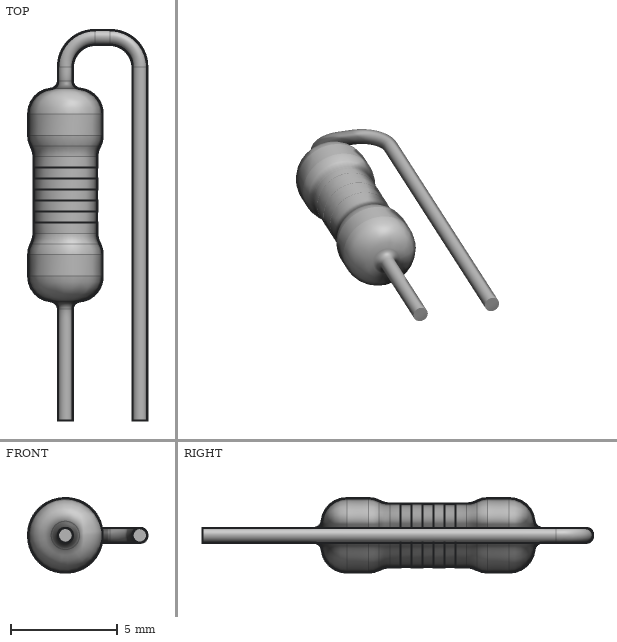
import cadquery as cq
import math

wire_diameter = 0.7
lead_spacing = 3.5
bend_radius = 1.4
overall_length = 18.35
lead_tip_y = 0.0

body_length = 10.0
body_top_gap = 2.75
cap_diameter = 3.5
dome_radius = 1.2
cap_straight = 1.0
fillet_radius = 0.35

band_diameter = 3.0
gap_diameter = 2.98
band_count = 7
waist_length = 3.6

wire_radius = wire_diameter / 2
cap_radius = cap_diameter / 2
band_radius = band_diameter / 2
gap_radius = gap_diameter / 2

top_y = lead_tip_y + overall_length
hairpin_y = top_y - wire_radius
body_middle_y = top_y - body_top_gap - body_length / 2
waist_half = waist_length / 2
band_width = waist_length / band_count
cap_outer = body_length / 2 - dome_radius
cap_inner = cap_outer - cap_straight


def point_on_circle(centre, radius, angle):
    """Point at an angle, in degrees, measured anticlockwise from +X."""
    turn = math.radians(angle)
    return (centre[0] + radius * math.cos(turn), centre[1] + radius * math.sin(turn))


def make_end_cap():
    """Cap at the +Y end of a body centred on the origin, with its blends to the wire and the waist."""
    dome_centre = (cap_radius - dome_radius, cap_outer)
    centre_distance = dome_radius + fillet_radius
    fillet_x = wire_radius + fillet_radius
    contact_angle = math.degrees(math.acos((fillet_x - dome_centre[0]) / centre_distance))
    fillet_centre = point_on_circle(dome_centre, centre_distance, contact_angle)
    fillet_y = fillet_centre[1]
    fillet_middle = point_on_circle(fillet_centre, fillet_radius, 180 + contact_angle / 2)
    contact = point_on_circle(dome_centre, dome_radius, contact_angle)
    dome_middle = point_on_circle(dome_centre, dome_radius, contact_angle / 2)

    shoulder_middle = ((band_radius + cap_radius) / 2, (waist_half + cap_inner) / 2)

    return (
        cq.Workplane("XY")
        .moveTo(0, waist_half)
        .lineTo(0, fillet_y)
        .lineTo(wire_radius, fillet_y)
        .threePointArc(fillet_middle, contact)
        .threePointArc(dome_middle, (cap_radius, cap_outer))
        .lineTo(cap_radius, cap_inner)
        .tangentArcPoint(shoulder_middle, relative=False)
        .tangentArcPoint((band_radius, waist_half), relative=False)
        .close()
        .revolve(360, (0, 0, 0), (0, 1, 0))
    )


def make_body():
    """Two mirrored end caps joined by a waist of alternating raised bands and gaps."""
    cap = make_end_cap()
    body = cap.union(cap.mirror("XZ"))
    for index in range(band_count):
        radius = band_radius if index % 2 == 0 else gap_radius
        start = -waist_half + index * band_width
        ring = cq.Workplane("XZ", origin=(0, start, 0)).circle(radius).extrude(-band_width)
        body = body.union(ring)
    return body.translate((0, body_middle_y, 0))


def make_wire():
    """Round wire running through the body axis, over the hairpin and back down the second lead."""
    bend_y = hairpin_y - bend_radius
    bend_end_x = lead_spacing - bend_radius
    first_bend_middle = point_on_circle((bend_radius, bend_y), bend_radius, 135)
    second_bend_middle = point_on_circle((bend_end_x, bend_y), bend_radius, 45)
    path = (
        cq.Workplane("XY")
        .moveTo(0, lead_tip_y)
        .lineTo(0, bend_y)
        .threePointArc(first_bend_middle, (bend_radius, hairpin_y))
        .lineTo(bend_end_x, hairpin_y)
        .threePointArc(second_bend_middle, (lead_spacing, bend_y))
        .lineTo(lead_spacing, lead_tip_y)
    )
    return cq.Workplane("XZ", origin=(0, lead_tip_y, 0)).circle(wire_radius).sweep(path)


result = make_body().union(make_wire())